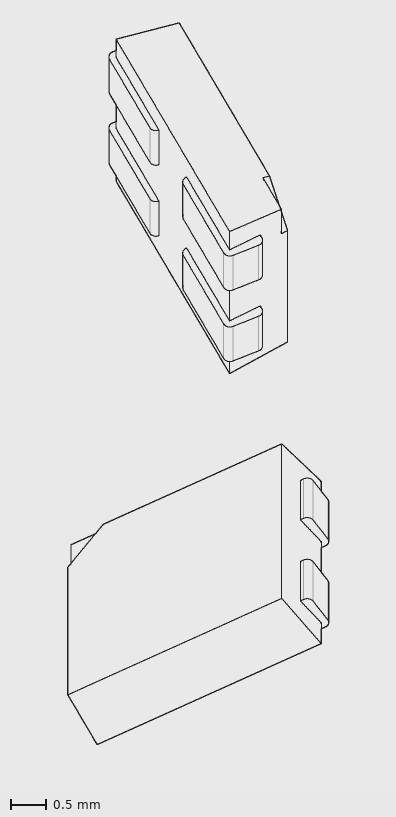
import cadquery as cq
import math

overall_width = 3.9
body_width = 3.685
body_height = 3.5
body_depth = 0.95
draft_angle = 5.0

terminal_thickness = 0.098
terminal_length = 1.5
terminal_reach = 0.6
terminal_height = 0.85
terminal_offset = 0.875
corner_radius = 0.098

mark_size = 0.585
mark_depth = 0.1

draft_inset = body_depth * math.tan(math.radians(draft_angle))


def make_body():
    """Block tapering on all four sides from the terminal face at Y = 0 to the +Y face."""
    return (
        cq.Workplane("XZ")
        .rect(body_width, body_height)
        .workplane(offset=-body_depth)
        .rect(body_width - 2 * draft_inset, body_height - 2 * draft_inset)
        .loft(ruled=True)
    )


def make_terminal(side, center_z):
    """Terminal with rounded edges, on the side given by the sign of X."""
    block = (
        cq.Workplane("XY")
        .box(terminal_length, terminal_reach, terminal_height, centered=(False, False, True))
        .translate((-overall_width / 2, -terminal_thickness, center_z))
    )
    block = block.edges("|Z and (<X or <Y)").fillet(corner_radius)
    if side > 0:
        block = block.mirror("YZ")
    return block


def make_corner_mark():
    """Shallow triangular cutter for the +X +Z corner of the +Y face."""
    corner_x = body_width / 2 - draft_inset
    corner_z = body_height / 2 - draft_inset
    margin = draft_inset
    return (
        cq.Workplane("XZ", origin=(0, body_depth, 0))
        .moveTo(corner_x - mark_size - margin, corner_z + margin)
        .lineTo(corner_x + margin, corner_z + margin)
        .lineTo(corner_x + margin, corner_z - mark_size - margin)
        .close()
        .extrude(mark_depth)
    )


result = make_body().cut(make_corner_mark())
for side in (-1, 1):
    for center_z in (-terminal_offset, terminal_offset):
        result = result.union(make_terminal(side, center_z))